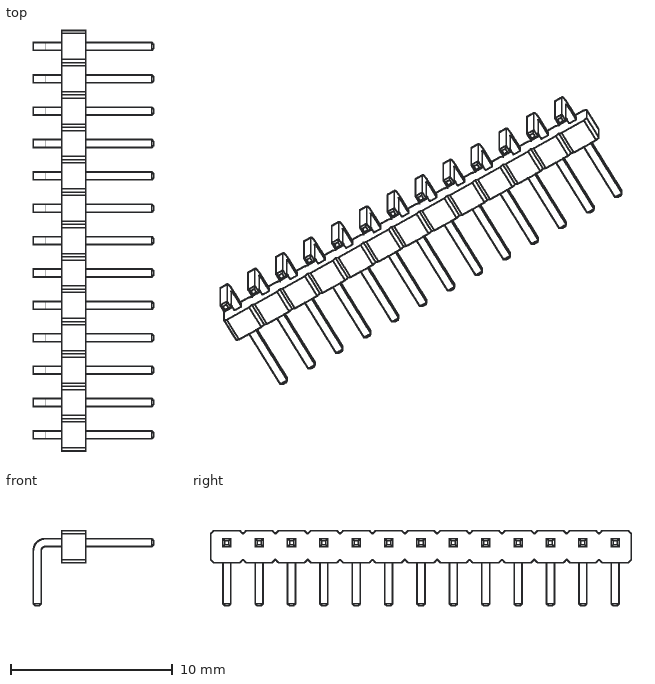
import cadquery as cq


pin_count = 13
pitch = 2.0

body_depth = 1.5
body_height = 2.0
body_chamfer = 0.2

pin_size = 0.5
pin_top_drop = 0.5
bend_outer_radius = 0.75
back_reach = 1.75
front_reach = 4.2
overall_height = 4.65
tip_chamfer = pin_size / 4

bend_inner_radius = bend_outer_radius - pin_size
pin_top = body_height - pin_top_drop
pin_bottom = pin_top - pin_size
leg_outer_x = -back_reach
leg_inner_x = leg_outer_x + pin_size
bend_center_x = leg_outer_x + bend_outer_radius
bend_center_z = pin_top - bend_outer_radius
mating_tip_x = body_depth + front_reach
leg_tip_z = body_height - overall_height
pin_positions = [(i - (pin_count - 1) / 2) * pitch for i in range(pin_count)]


def body_segment(y):
    """One pitch of the body, its four long edges chamfered; neighbours meet in V notches."""
    block = cq.Workplane("XY").box(body_depth, pitch, body_height, centered=(False, True, False))
    return block.edges("|X").chamfer(body_chamfer).translate((0, y, 0))


def notched_body():
    """All body segments joined into one bar."""
    body = body_segment(pin_positions[0])
    for y in pin_positions[1:]:
        body = body.union(body_segment(y))
    return body.clean()


def bent_pin():
    """Pin at Y = 0: straight mating end, rounded bend and a leg down, both ends chamfered."""
    profile = (
        cq.Workplane("XZ")
        .moveTo(mating_tip_x, pin_top)
        .lineTo(bend_center_x, pin_top)
        .radiusArc((leg_outer_x, bend_center_z), -bend_outer_radius)
        .lineTo(leg_outer_x, leg_tip_z)
        .lineTo(leg_inner_x, leg_tip_z)
        .lineTo(leg_inner_x, bend_center_z)
        .radiusArc((bend_center_x, pin_bottom), bend_inner_radius)
        .lineTo(mating_tip_x, pin_bottom)
        .close()
    )
    pin = profile.extrude(pin_size / 2, both=True)
    pin = pin.faces(">X").chamfer(tip_chamfer)
    return pin.faces("<Z").chamfer(tip_chamfer)


def header():
    """Notched body with a pin through the middle of each segment."""
    assembled = notched_body()
    pin = bent_pin()
    for y in pin_positions:
        assembled = assembled.union(pin.translate((0, y, 0)))
    return assembled


result = header()